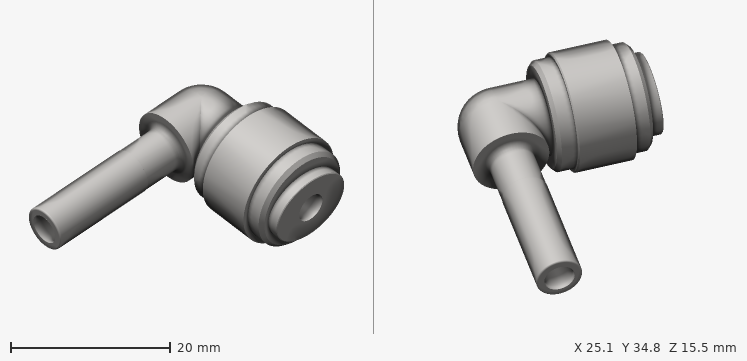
import cadquery as cq

elbow_diameter = 10.0
elbow_radius = elbow_diameter / 2
bore_diameter = 4.0
overall_x = 25.1
overall_y = 34.75

collar_start = 5.8
collar_diameter = 14.4
sleeve_start = 8.35
sleeve_end = 16.0
sleeve_diameter = 15.5
sleeve_chamfer = 0.17
cap_end = 18.5
cap_diameter = 14.0
body_chamfer = 0.52

collet_width = 11.65
collet_height = 9.38
collet_end = overall_x - elbow_radius
collet_edge = 0.1

arm_length = 6.05
neck_diameter = 5.9
neck_fillet = 0.8
neck_end = 12.02
stem_diameter = 6.0
stem_end = overall_y - sleeve_diameter / 2
stem_tip_fillet = 0.25


def rod_x(start, end, diameter):
    """Cylinder along +X between two distances from the elbow centre."""
    return cq.Workplane("YZ", origin=(start, 0, 0)).circle(diameter / 2).extrude(end - start)


def rod_y(start, end, diameter):
    """Cylinder along -Y between two distances from the elbow centre."""
    return cq.Workplane("XZ", origin=(0, -start, 0)).circle(diameter / 2).extrude(end - start)


def elbow(diameter, x_length, y_length):
    """Two equal cylinders joined by a ball at their corner."""
    ball = cq.Workplane("XY").sphere(diameter / 2)
    return ball.union(rod_x(0, x_length, diameter)).union(rod_y(0, y_length, diameter))


def push_in_body():
    collar = rod_x(collar_start, sleeve_start, collar_diameter).faces("<X").chamfer(body_chamfer)
    sleeve = rod_x(sleeve_start, sleeve_end, sleeve_diameter).faces("<X").chamfer(sleeve_chamfer)
    cap = rod_x(sleeve_end, cap_end, cap_diameter).faces(">X").chamfer(body_chamfer)
    return collar.union(sleeve).union(cap)


def collet():
    oval = cq.Workplane("YZ", origin=(cap_end, 0, 0)).ellipse(collet_width / 2, collet_height / 2)
    return oval.extrude(collet_end - cap_end).faces(">X").chamfer(collet_edge)


def stem():
    """Turned stem: concave fillet at the arm, slightly thinner neck, rounded tip."""
    neck_radius = neck_diameter / 2
    stem_radius = stem_diameter / 2
    fillet_center = (neck_radius + neck_fillet, -arm_length - neck_fillet)
    fillet_reach = neck_fillet * 0.5 ** 0.5
    fillet_middle = (fillet_center[0] - fillet_reach, fillet_center[1] + fillet_reach)
    return (
        cq.Workplane("XY")
        .moveTo(0, -arm_length)
        .lineTo(fillet_center[0], -arm_length)
        .threePointArc(fillet_middle, (neck_radius, fillet_center[1]))
        .lineTo(neck_radius, -neck_end)
        .lineTo(stem_radius, -neck_end)
        .lineTo(stem_radius, -stem_end)
        .lineTo(0, -stem_end)
        .close()
        .revolve(360, (0, 0, 0), (0, 1, 0))
        .faces("<Y")
        .edges()
        .fillet(stem_tip_fillet)
    )


outside = (
    elbow(elbow_diameter, collar_start, arm_length)
    .union(push_in_body())
    .union(collet())
    .union(stem())
)
result = outside.cut(elbow(bore_diameter, collet_end, stem_end))